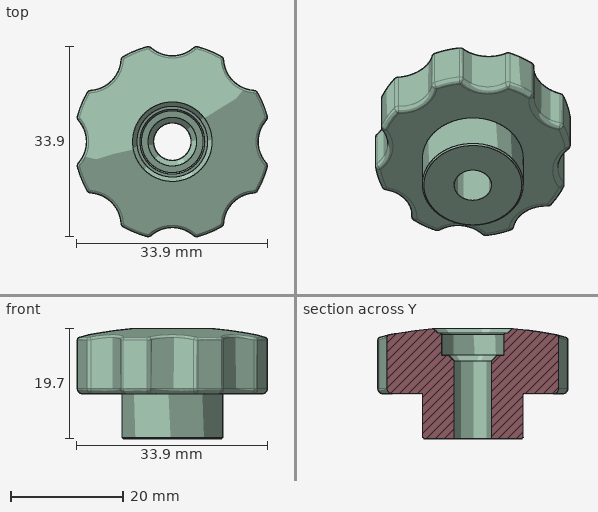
import cadquery as cq
import math

total_height = 19.68
hub_height = 8.03

hub_diameter = 18.0
hub_chamfer = 0.27

head_radius = 17.5
dome_radius = 77.9
bottom_fillet = 0.9
top_fillet = 0.5
corner_fillet = 0.8

scallop_count = 8
scallop_radius = 5.75
scallop_floor_radius = 15.3

mouth_diameter = 14.15
ledge_diameter = 12.6
counterbore_diameter = 11.0
counterbore_chamfer = 0.27
floor_height = 14.95
hole_diameter = 6.65
hole_chamfer = 1.0


def dome_height(radius):
    """Height of the domed top at a distance from the axis; the mouth rim is the highest point left."""
    mouth_drop = dome_radius - math.sqrt(dome_radius**2 - (mouth_diameter / 2) ** 2)
    drop = dome_radius - math.sqrt(dome_radius**2 - radius**2)
    return total_height + mouth_drop - drop


def make_head():
    """Domed disc with rounded finger scallops."""
    mid_radius = head_radius / 2
    head = (
        cq.Workplane("XZ")
        .moveTo(0, hub_height)
        .lineTo(head_radius, hub_height)
        .lineTo(head_radius, dome_height(head_radius))
        .threePointArc((mid_radius, dome_height(mid_radius)), (0, dome_height(0)))
        .close()
        .revolve(360, (0, 0), (0, 1))
    )
    scallops = (
        cq.Workplane("XY")
        .polarArray(scallop_floor_radius + scallop_radius, 0, 360, scallop_count)
        .circle(scallop_radius)
        .extrude(2 * total_height)
    )
    head = head.cut(scallops)
    head = head.edges("|Z").fillet(corner_fillet)
    head = head.faces("<Z").edges().fillet(bottom_fillet)
    return head.faces(">Z").edges().fillet(top_fillet)


def make_hub():
    """Cylindrical hub that runs up into the head."""
    hub = cq.Workplane("XY").circle(hub_diameter / 2).extrude(floor_height)
    return hub.faces("<Z").edges().chamfer(hub_chamfer)


def make_bore():
    """Solid of revolution for the mouth cone, ledge, counterbore and through hole."""
    mouth_radius = mouth_diameter / 2
    ledge_radius = ledge_diameter / 2
    counterbore_radius = counterbore_diameter / 2
    hole_radius = hole_diameter / 2
    ledge_height = total_height - (mouth_radius - ledge_radius)
    profile = [
        (0, 0),
        (hole_radius, 0),
        (hole_radius, floor_height - hole_chamfer),
        (hole_radius + hole_chamfer, floor_height),
        (counterbore_radius, floor_height),
        (counterbore_radius, ledge_height - counterbore_chamfer),
        (counterbore_radius + counterbore_chamfer, ledge_height),
        (ledge_radius, ledge_height),
        (mouth_radius, total_height),
        (mouth_radius, dome_height(0)),
        (0, dome_height(0)),
    ]
    return cq.Workplane("XZ").polyline(profile).close().revolve(360, (0, 0), (0, 1))


result = make_head().union(make_hub()).cut(make_bore())